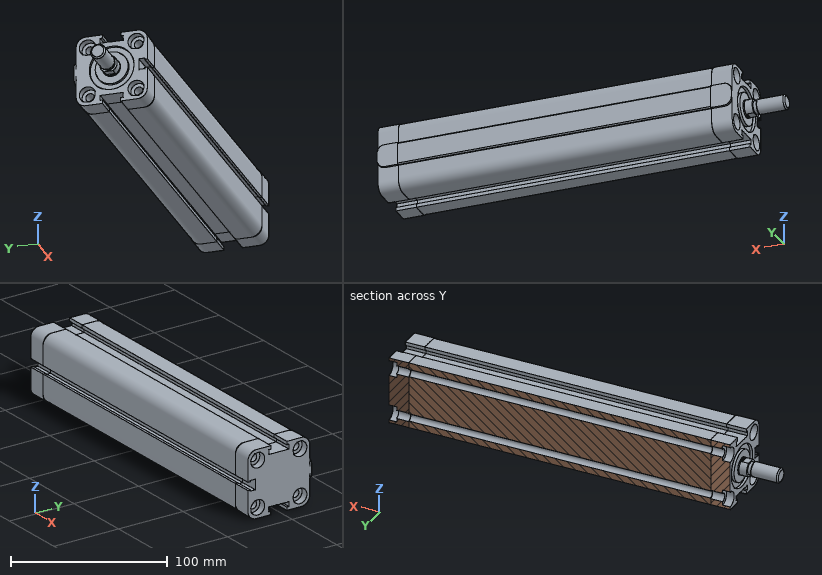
import cadquery as cq


total_length = 272.5
rod_stickout = 28.0
cap_length = 14.2
body_length = total_length - rod_stickout
barrel_start = rod_stickout + cap_length
barrel_length = body_length - 2 * cap_length
rear_cap_start = total_length - cap_length

body_side = 48.0
half_side = body_side / 2
cap_corner_radius = 6.5
barrel_corner_radius = 7.4

wide_slot_mouth = 12.3
wide_slot_width = 15.5
wide_slot_lip = 2.5
wide_slot_depth = 5.7
narrow_slot_mouth = 5.7
narrow_slot_width = 7.4
narrow_slot_lip = 2.0
narrow_slot_depth = 5.7

pad_height = 1.5
pad_width = 15.5
pad_corner_radius = 5.2
rail_chamfer = 0.8

screw_offset = 16.4
cap_hole_diameter = 5.7
barrel_hole_diameter = 5.0
screw_head_diameter = 10.5
screw_head_depth = 5.5

groove_outer_diameter = 30.0
groove_inner_diameter = 22.0
groove_depth = 2.0

rod_diameter = 12.0
thread_diameter = 10.0
thread_length = 19.3
tip_diameter = 8.2
tip_chamfer = (thread_diameter - tip_diameter) / 2
neck_diameter = 8.7
neck_length = 2.5
flats_start = thread_length + neck_length
flats_length = 4.5
flats_width = 10.0
wrench_end_diameter = 11.7
wrench_end_length = 5.5
shank_start = flats_start + wrench_end_length


def slotted_bar(start, length, corner_radius, hole_diameter):
    """Rounded square bar along X with three undercut slots and four screw holes."""
    bar = (
        cq.Workplane("YZ", origin=(start, 0, 0))
        .rect(body_side, body_side)
        .extrude(length)
        .edges("|X")
        .fillet(corner_radius)
    )
    wide_slot = slot_cutter(
        start, length, wide_slot_mouth, wide_slot_width, wide_slot_lip, wide_slot_depth
    )
    narrow_slot = slot_cutter(
        start, length, narrow_slot_mouth, narrow_slot_width, narrow_slot_lip, narrow_slot_depth
    )
    bar = bar.cut(wide_slot).cut(turn_about_x(wide_slot, 180)).cut(turn_about_x(narrow_slot, 90))
    return bar.cut(corner_cylinders(start, length, hole_diameter))


def slot_cutter(start, length, mouth, width, lip, depth):
    """T-shaped cutter along X that opens through the top face."""
    half_mouth = mouth / 2
    half_width = width / 2
    lip_level = half_side - lip
    floor_level = half_side - depth
    return (
        cq.Workplane("YZ", origin=(start, 0, 0))
        .polyline([
            (-half_mouth, half_side),
            (-half_mouth, lip_level),
            (-half_width, lip_level),
            (-half_width, floor_level),
            (half_width, floor_level),
            (half_width, lip_level),
            (half_mouth, lip_level),
            (half_mouth, half_side),
        ])
        .close()
        .extrude(length)
    )


def turn_about_x(shape, angle):
    return shape.rotate((0, 0, 0), (1, 0, 0), angle)


def corner_cylinders(start, length, diameter):
    """Four cylinders along X on the screw axes."""
    return (
        cq.Workplane("YZ", origin=(start, 0, 0))
        .rect(2 * screw_offset, 2 * screw_offset, forConstruction=True)
        .vertices()
        .circle(diameter / 2)
        .extrude(length)
    )


def side_strip(start, length):
    """Flat strip standing on the +Y side."""
    strip = cq.Workplane("XY").box(length, pad_height, pad_width, centered=(False, False, True))
    return strip.translate((start, half_side, 0))


def make_cap(start, outer_face, head_start):
    """End cap whose pad corners are rounded at the outer face, where the screw heads sit."""
    pad = side_strip(start, cap_length).faces(outer_face).edges("|Y").fillet(pad_corner_radius)
    cap = slotted_bar(start, cap_length, cap_corner_radius, cap_hole_diameter).union(pad)
    return cap.cut(corner_cylinders(head_start, screw_head_depth, screw_head_diameter))


def make_front_cap():
    cap = make_cap(rod_stickout, "<X", rod_stickout)
    front_face = cq.Workplane("YZ", origin=(rod_stickout, 0, 0))
    groove = (
        front_face.circle(groove_outer_diameter / 2)
        .circle(groove_inner_diameter / 2)
        .extrude(groove_depth)
    )
    rod_bore = front_face.circle(rod_diameter / 2).extrude(cap_length)
    return cap.cut(groove).cut(rod_bore)


def make_rear_cap():
    return make_cap(rear_cap_start, ">X", total_length - screw_head_depth)


def make_barrel():
    rail = side_strip(barrel_start, barrel_length).faces(">Y").edges("|X").chamfer(rail_chamfer)
    return slotted_bar(barrel_start, barrel_length, barrel_corner_radius, barrel_hole_diameter).union(rail)


def make_rod():
    """Rod with a threaded end, a neck and two wrench flats, ending at the barrel."""
    thread = (
        cq.Workplane("YZ")
        .circle(thread_diameter / 2)
        .extrude(thread_length)
        .faces("<X")
        .chamfer(tip_chamfer)
    )
    neck = thread.faces(">X").workplane().circle(neck_diameter / 2).extrude(neck_length, combine=False)
    wrench_end = (
        cq.Workplane("YZ", origin=(flats_start, 0, 0))
        .circle(wrench_end_diameter / 2)
        .extrude(wrench_end_length)
    )
    flats_outside = (
        cq.Workplane("YZ", origin=(flats_start, 0, 0))
        .rect(rod_diameter, 2 * rod_diameter)
        .rect(rod_diameter, flats_width)
        .extrude(flats_length)
    )
    shank = (
        cq.Workplane("YZ", origin=(shank_start, 0, 0))
        .circle(rod_diameter / 2)
        .extrude(barrel_start - shank_start)
    )
    return thread.union(neck).union(wrench_end.cut(flats_outside)).union(shank)


front_cap = make_front_cap()
barrel = make_barrel()
rear_cap = make_rear_cap()
rod = make_rod()

result = cq.Compound.makeCompound([front_cap.val(), barrel.val(), rear_cap.val(), rod.val()])